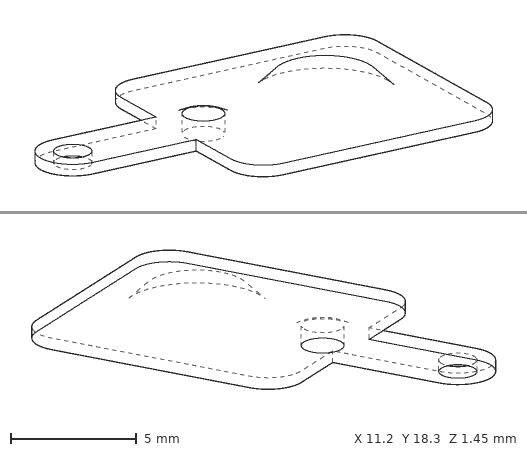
import cadquery as cq
import math

TOTAL_LENGTH = 18.34
PLATE_WIDTH = 11.2
PLATE_LENGTH = 12.0
THICKNESS = 0.5
CORNER_RADIUS = 1.5
TAB_WIDTH = 3.0
TAB_HOLE_DIAMETER = 1.52

DOME_Y = 13.33
DOME_HEIGHT = 0.95
DOME_BASE_RADIUS = 3.1
DOME_TOP_RADIUS = 1.9
DOME_BLEND_WIDTH = 0.18
DOME_BLEND_RISE = 0.07

COLLAR_Y = 7.63
COLLAR_HEIGHT = 0.37
COLLAR_BASE_RADIUS = 1.87
COLLAR_FOOT_RADIUS = 1.43
COLLAR_FOOT_RISE = 0.11
COLLAR_RIM_RADIUS = 0.99
COLLAR_RIM_DROP = 0.033
COLLAR_HOLE_DIAMETER = 1.7


def arc_middle(start, end, centre):
    """Point halfway along the short arc from start to end about centre."""
    radius = math.dist(start, centre)
    across = (start[0] + end[0]) / 2 - centre[0]
    up = (start[1] + end[1]) / 2 - centre[1]
    reach = radius / math.hypot(across, up)
    return (centre[0] + across * reach, centre[1] + up * reach)


def level_arc_radius(width, rise):
    """Radius of an arc that leaves a level face and spans the given width and rise."""
    return (width ** 2 + rise ** 2) / (2 * rise)


def raised_form(y, height, base_radius, foot_radius, foot_rise, rim_radius, rim_drop, top_radius):
    """Revolved boss with a conical flank, rounded at its foot and at its rim."""
    top = THICKNESS + height
    base_point = (base_radius, THICKNESS)
    foot_point = (foot_radius, THICKNESS + foot_rise)
    rim_point = (rim_radius, top - rim_drop)
    top_point = (top_radius, top)
    foot_centre = (base_radius, THICKNESS + level_arc_radius(base_radius - foot_radius, foot_rise))
    rim_centre = (top_radius, top - level_arc_radius(rim_radius - top_radius, rim_drop))

    profile = cq.Workplane("XZ").moveTo(0, 0).lineTo(base_radius, 0).lineTo(*base_point)
    profile = profile.threePointArc(arc_middle(base_point, foot_point, foot_centre), foot_point)
    profile = profile.lineTo(*rim_point)
    profile = profile.threePointArc(arc_middle(rim_point, top_point, rim_centre), top_point)
    form = profile.lineTo(0, top).close().revolve(360, (0, 0, 0), (0, 1, 0))
    return form.translate((0, y, 0))


def through_hole(y, diameter):
    return cq.Workplane("XY").center(0, y).circle(diameter / 2).extrude(THICKNESS + COLLAR_HEIGHT)


plate = (
    cq.Workplane("XY")
    .center(0, TOTAL_LENGTH - PLATE_LENGTH / 2)
    .rect(PLATE_WIDTH, PLATE_LENGTH)
    .extrude(THICKNESS)
    .edges("|Z")
    .fillet(CORNER_RADIUS)
)

tab_end_y = TAB_WIDTH / 2
tab = (
    cq.Workplane("XY")
    .moveTo(-TAB_WIDTH / 2, COLLAR_Y)
    .lineTo(-TAB_WIDTH / 2, tab_end_y)
    .threePointArc((0, 0), (TAB_WIDTH / 2, tab_end_y))
    .lineTo(TAB_WIDTH / 2, COLLAR_Y)
    .close()
    .extrude(THICKNESS)
)

dome = raised_form(
    DOME_Y,
    DOME_HEIGHT,
    DOME_BASE_RADIUS,
    DOME_BASE_RADIUS - DOME_BLEND_WIDTH,
    DOME_BLEND_RISE,
    DOME_TOP_RADIUS + DOME_BLEND_WIDTH,
    DOME_BLEND_RISE,
    DOME_TOP_RADIUS,
)

collar = raised_form(
    COLLAR_Y,
    COLLAR_HEIGHT,
    COLLAR_BASE_RADIUS,
    COLLAR_FOOT_RADIUS,
    COLLAR_FOOT_RISE,
    COLLAR_RIM_RADIUS,
    COLLAR_RIM_DROP,
    COLLAR_HOLE_DIAMETER / 2,
)

result = plate.union(tab).union(dome).union(collar)
result = result.cut(through_hole(tab_end_y, TAB_HOLE_DIAMETER))
result = result.cut(through_hole(COLLAR_Y, COLLAR_HOLE_DIAMETER))